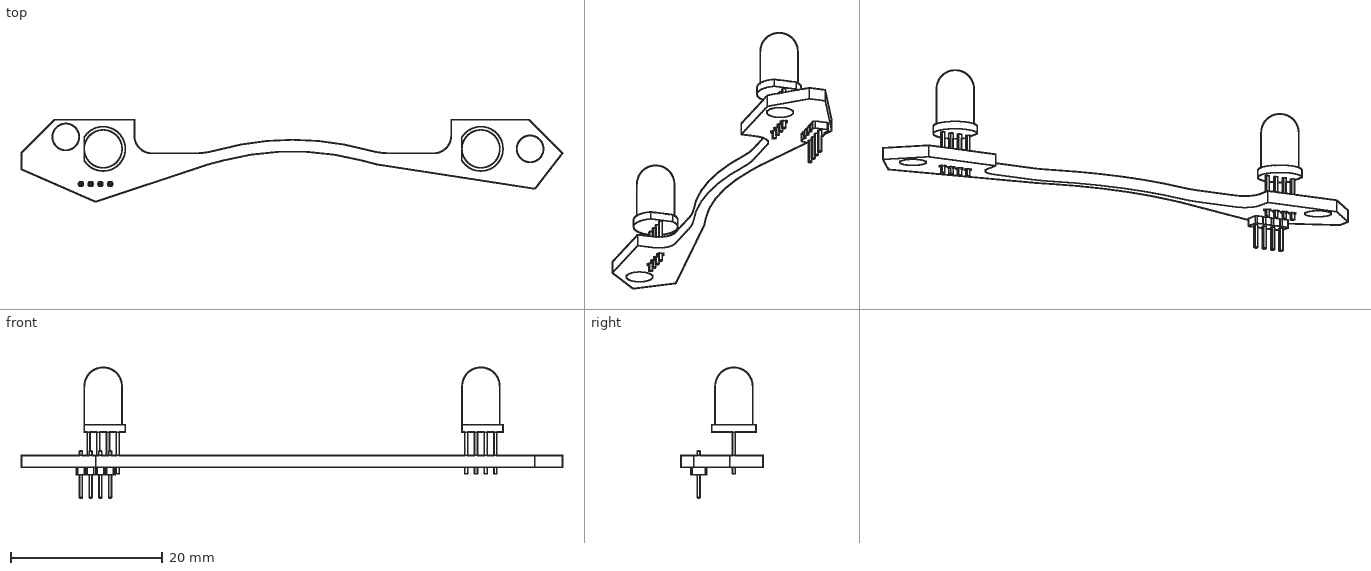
import cadquery as cq
import math

board_length = 71.5
board_width = 10.9
board_thickness = 1.6
notch_floor_y = 6.4
notch_fillet = 2.3
left_pad_end_x = 14.95
right_pad_start_x = 56.75
left_end_bottom_y = 4.3
left_end_top_y = 6.5
left_bevel_end_x = 4.35
left_low_corner_x = 9.8
right_bevel_start_x = 67.05
right_tip_y = 6.4
right_low_corner = (67.85, 1.7)

match_tolerance = 0.01

arm_center_x = 35.8
arm_top_y = 8.2
arm_width = 1.6
arm_lower_radius = 35.75
arm_half_span = 9.15
arm_blend_radius = 10.0
arm_foot_length = 2.0
arm_foot_y = 4.9

mount_hole_diameter = 3.5
mount_hole_points = [(5.85, 8.6), (67.2, 7.0)]

pin_count = 4
pin_pitch = 1.3

led_points = [(10.8, 7.0), (60.7, 7.0)]
led_radius = 2.5
led_flange_radius = 2.9
led_flange_thickness = 1.0
led_flange_bottom_z = 4.65
led_body_height = 6.1
led_lead_size = 0.4
led_lead_bottom_z = -0.85
led_lead_hole_diameter = 0.9

header_point = (9.8, 2.35)
header_width = 2.15
header_height = 1.0
header_chamfer = 0.2
header_pin_size = 0.4
header_pin_tip_chamfer = 0.11
header_pin_top_z = 2.2
header_pin_bottom_z = -4.1
header_hole_diameter = 0.65


def row_points(center):
    """Pin positions of one row along X, centred on the given point."""
    first_x = center[0] - pin_pitch * (pin_count - 1) / 2
    return [(first_x + i * pin_pitch, center[1]) for i in range(pin_count)]


def make_pins(points, size, bottom_z, top_z):
    """Square pins between two heights."""
    plane = cq.Workplane("XY").workplane(offset=bottom_z)
    return plane.pushPoints(points).rect(size, size).extrude(top_z - bottom_z)


def arc_drop(radius, half_span):
    """Height lost between the crest of an arc and a point half_span to its side."""
    return radius - math.sqrt(radius**2 - half_span**2)


def make_board():
    arm_upper_radius = arm_lower_radius + arm_width
    crest_drop = arm_top_y - notch_floor_y
    upper_half_span = math.sqrt(2 * arm_upper_radius * crest_drop - crest_drop**2)
    arm_bottom_y = arm_top_y - arm_width
    lower_end_y = arm_bottom_y - arc_drop(arm_lower_radius, arm_half_span)
    arm_left_x = arm_center_x - arm_half_span
    arm_right_x = arm_center_x + arm_half_span
    blend_left_x = arm_center_x - upper_half_span
    blend_right_x = arm_center_x + upper_half_span

    board = (
        cq.Workplane("XY")
        .moveTo(0, left_end_bottom_y)
        .lineTo(0, left_end_top_y)
        .lineTo(left_bevel_end_x, board_width)
        .lineTo(left_pad_end_x, board_width)
        .lineTo(left_pad_end_x, notch_floor_y)
        .lineTo(blend_left_x, notch_floor_y)
        .threePointArc((arm_center_x, arm_top_y), (blend_right_x, notch_floor_y))
        .lineTo(right_pad_start_x, notch_floor_y)
        .lineTo(right_pad_start_x, board_width)
        .lineTo(right_bevel_start_x, board_width)
        .lineTo(board_length, right_tip_y)
        .lineTo(*right_low_corner)
        .lineTo(arm_right_x + arm_foot_length, arm_foot_y)
        .lineTo(arm_right_x, lower_end_y)
        .threePointArc((arm_center_x, arm_bottom_y), (arm_left_x, lower_end_y))
        .lineTo(arm_left_x - arm_foot_length, arm_foot_y)
        .lineTo(left_low_corner_x, 0)
        .close()
        .extrude(board_thickness)
    )

    def vertical_edges_at(*corner_xs):
        """Vertical edges of the board that stand on the notch floor line."""
        corners = [cq.Vector(x, notch_floor_y, board_thickness / 2) for x in corner_xs]
        return board.edges("|Z").filter(
            lambda edge: any((edge.Center() - corner).Length < match_tolerance for corner in corners)
        )

    board = vertical_edges_at(left_pad_end_x, right_pad_start_x).fillet(notch_fillet)
    board = vertical_edges_at(blend_left_x, blend_right_x).fillet(arm_blend_radius)

    lead_points = [point for led in led_points for point in row_points(led)]
    for points, diameter in (
        (mount_hole_points, mount_hole_diameter),
        (lead_points, led_lead_hole_diameter),
        (row_points(header_point), header_hole_diameter),
    ):
        holes = cq.Workplane("XY").pushPoints(points).circle(diameter / 2).extrude(board_thickness)
        board = board.cut(holes)
    return board


def make_led(center):
    x, y = center
    dome_base_z = led_flange_bottom_z + led_body_height
    flange_top_z = led_flange_bottom_z + led_flange_thickness

    body = (
        cq.Workplane("XZ")
        .moveTo(0, led_flange_bottom_z)
        .lineTo(led_flange_radius, led_flange_bottom_z)
        .lineTo(led_flange_radius, flange_top_z)
        .lineTo(led_radius, flange_top_z)
        .lineTo(led_radius, dome_base_z)
        .radiusArc((0, dome_base_z + led_radius), -led_radius)
        .close()
        .revolve(360, (0, 0), (0, 1))
    )
    flat = (
        cq.Workplane("XY")
        .box(led_flange_radius, 2 * led_flange_radius, led_flange_thickness, centered=(False, True, False))
        .translate((-led_radius - led_flange_radius, 0, led_flange_bottom_z))
    )
    body = body.cut(flat).translate((x, y, 0))
    leads = make_pins(row_points(center), led_lead_size, led_lead_bottom_z, led_flange_bottom_z)
    return body.union(leads)


def make_header():
    header = make_pins(row_points(header_point), header_pin_size, header_pin_bottom_z, header_pin_top_z)
    header = header.faces("<Z or >Z").chamfer(header_pin_tip_chamfer)
    for x, y in row_points(header_point):
        cell = (
            cq.Workplane("XY")
            .box(pin_pitch, header_width, header_height, centered=(True, True, False))
            .edges("|Z")
            .chamfer(header_chamfer)
            .translate((x, y, -header_height))
        )
        header = header.union(cell)
    return header


board = make_board()
leds = [make_led(center) for center in led_points]
header = make_header()

result = cq.Compound.makeCompound([board.val(), *[led.val() for led in leds], header.val()])